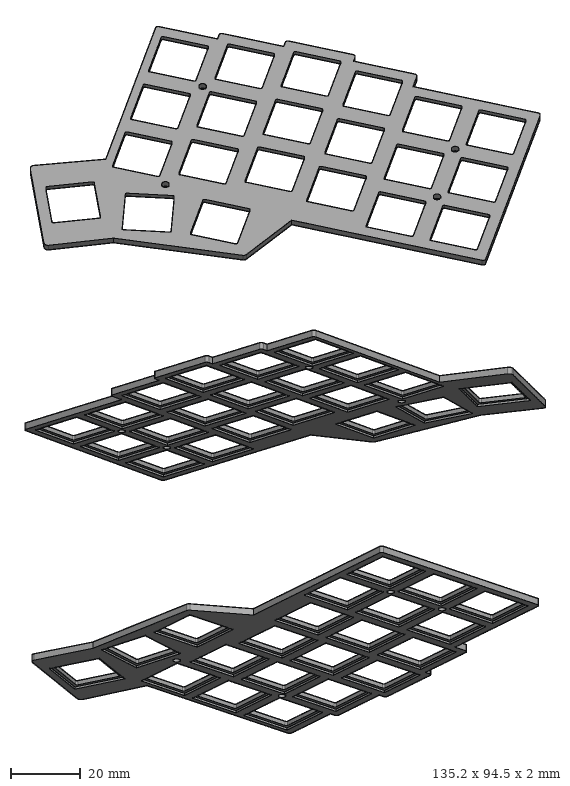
import cadquery as cq
import math

thickness = 2.0

key_pitch = 19.0
key_opening = 14.0
opening_corner_radius = 0.5
lip_thickness = 1.4
lip_overhang = 1.0
rows = 3
stagger = key_pitch / 8
middle_row_y = 17.7
column_drops = [2, 1, 0, 1, 3, 3]
highest_column = 2

thumb_tilt = 11.8
thumb_keys = [
    (-52.2, -29.3, 2 * thumb_tilt),
    (-30.4, -27.3, thumb_tilt),
    (-9.6, -25.0, 0),
]

left_edge = -47.7
top_edge = 47.2
right_edge = 67.6
bottom_edge = -18.9
top_step_half_width = 10.4
shoulder_half_width = 29.5
left_edge_bottom = -10.8

thumb_right_start = (10.0, bottom_edge)
thumb_right_end = (0.8, -35.7)
thumb_bottom_bend = (-37.3, -39.5)
thumb_left_length = 31.1
thumb_left_top = (-68.0, -19.2)
corner_radius = 0.8
thumb_corner_radius = 1.2

hole_diameter = 2.2
right_hole_y = 20.1
left_hole_x = -1.5 * key_pitch
right_hole_x = 2.5 * key_pitch
hole_positions = [
    (left_hole_x, 23.6),
    (left_hole_x, -15.5),
    (right_hole_x, right_hole_y),
    (right_hole_x, right_hole_y - key_pitch),
]


def column_top(column):
    """Height of the plate edge above a column."""
    return top_edge - column_drops[column] * stagger


def square_cutter(x, y, tilt):
    """Solid that cuts one switch opening and the wider recess under its lip."""
    recess_side = key_opening + 2 * lip_overhang
    opening = cq.Workplane("XY").rect(key_opening, key_opening).extrude(thickness)
    opening = opening.edges("|Z").fillet(opening_corner_radius)
    recess = cq.Workplane("XY").rect(recess_side, recess_side).extrude(thickness - lip_thickness)
    return opening.union(recess).rotate((0, 0, 0), (0, 0, 1), tilt).translate((x, y, 0))


def key_positions():
    """Centre and tilt of every switch opening."""
    places = list(thumb_keys)
    for column, drop in enumerate(column_drops):
        x = (column - highest_column) * key_pitch
        for row in range(rows):
            y = middle_row_y - drop * stagger + (row - 1) * key_pitch
            places.append((x, y, 0))
    return places


def round_corners(body, corners, radius):
    """Round the upright edges that stand at the given corners."""
    for x, y in corners:
        nearest = cq.selectors.NearestToPointSelector((x, y, thickness / 2))
        body = body.edges("|Z").edges(nearest).fillet(radius)
    return body


def plate_blank():
    """Outer shape of the plate with its outer corners rounded."""
    tilt = math.radians(2 * thumb_tilt)
    thumb_left_bottom = (
        thumb_left_top[0] + thumb_left_length * math.sin(tilt),
        thumb_left_top[1] - thumb_left_length * math.cos(tilt),
    )
    field_corners = [
        (left_edge, column_top(0)),
        (-shoulder_half_width, column_top(1)),
        (-top_step_half_width, column_top(2)),
        (top_step_half_width, column_top(2)),
        (shoulder_half_width, column_top(3)),
        (right_edge, column_top(4)),
        (right_edge, bottom_edge),
    ]
    thumb_corners = [thumb_right_end, thumb_left_bottom, thumb_left_top]
    outline = [
        (left_edge, left_edge_bottom),
        (left_edge, column_top(0)),
        (-shoulder_half_width, column_top(0)),
        (-shoulder_half_width, column_top(1)),
        (-top_step_half_width, column_top(1)),
        (-top_step_half_width, column_top(2)),
        (top_step_half_width, column_top(2)),
        (top_step_half_width, column_top(3)),
        (shoulder_half_width, column_top(3)),
        (shoulder_half_width, column_top(4)),
        (right_edge, column_top(4)),
        (right_edge, bottom_edge),
        thumb_right_start,
        thumb_right_end,
        thumb_bottom_bend,
        thumb_left_bottom,
        thumb_left_top,
    ]
    blank = cq.Workplane("XY").polyline(outline).close().extrude(thickness)
    blank = round_corners(blank, field_corners, corner_radius)
    return round_corners(blank, thumb_corners, thumb_corner_radius)


plate = plate_blank()
for x, y, tilt in key_positions():
    plate = plate.cut(square_cutter(x, y, tilt))

screw_holes = cq.Workplane("XY").pushPoints(hole_positions).circle(hole_diameter / 2).extrude(thickness)
result = plate.cut(screw_holes)